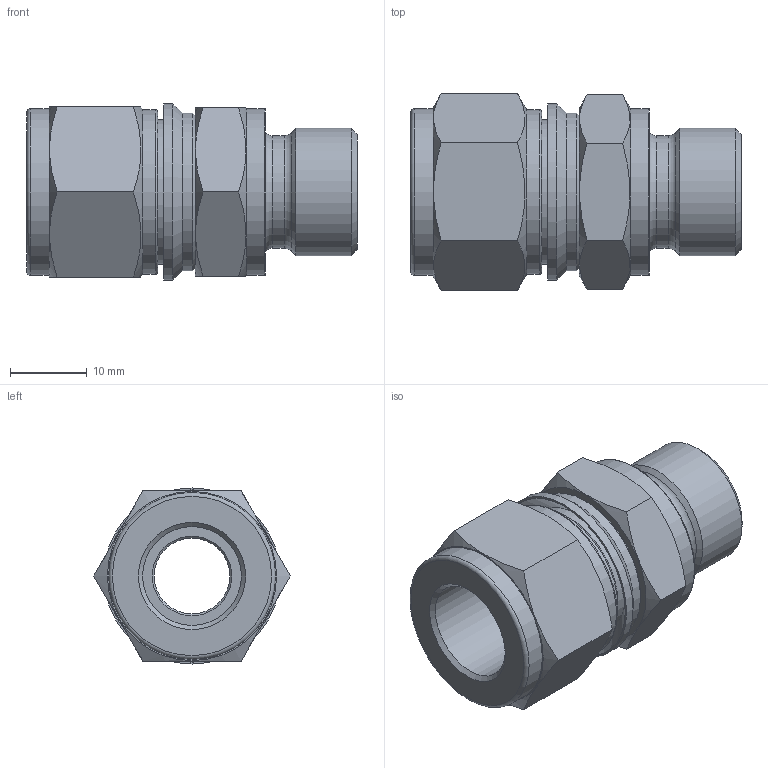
import cadquery as cq
import math

total_length = 43.2
nut_hex_start = 2.95
nut_hex_end = 15.15
nut_end = 17.1
ring_start = 17.9
gap_end = 18.33
ring_rim_end = 19.1
ring_cone_end = 20.35
body_hex_start = 22.03
body_hex_end = 28.72
shoulder_end = 31.2
thread_start = 35.15

nut_collar_diameter = 21.8
nut_tail_diameter = 21.5
gap_diameter = 18.9
ring_rim_diameter = 23.0
ring_hub_diameter = 20.6
ring_mouth_diameter = 22.5
relief_diameter = 17.7
shoulder_diameter = 21.8
undercut_diameter = 14.7
thread_diameter = 16.62

nut_across_corners = 25.66
nut_hex_face_diameter = 22.1
body_across_flats = 22.0
body_across_corners = body_across_flats / math.cos(math.radians(30))
body_hex_face_diameter = 21.9
hex_chamfer_angle = 30.0

nut_face_round = 0.5
nut_tail_round = 0.3
ring_hub_chamfer = 0.35
shoulder_round = 0.15
thread_chamfer = 0.78
undercut_round = 1.3
undercut_arc_angle = 45.0

tube_bore_diameter = 12.9
tube_bore_depth = 22.1
tube_entry_diameter = 14.0
flow_entry_diameter = 10.41
flow_diameter = 9.9


def cylinder(start, end, diameter):
    """Solid cylinder about the X axis."""
    return cq.Workplane("YZ", origin=(start, 0, 0)).circle(diameter / 2).extrude(end - start)


def cone(start, end, start_diameter, end_diameter):
    """Solid frustum about the X axis."""
    outline = [(start, 0), (start, start_diameter / 2), (end, end_diameter / 2), (end, 0)]
    return cq.Workplane("XY").polyline(outline).close().revolve(360, (0, 0, 0), (1, 0, 0))


def chamfered_hex(start, end, across_corners, start_diameter, end_diameter):
    """Hexagon with corners on +/-Y whose ends are turned to cones."""
    slope = math.tan(math.radians(hex_chamfer_angle))
    corner_radius = across_corners / 2
    start_run = (corner_radius - start_diameter / 2) * slope
    end_run = (corner_radius - end_diameter / 2) * slope
    prism = cq.Workplane("YZ", origin=(start, 0, 0)).polygon(6, across_corners).extrude(end - start)
    envelope = (
        cone(start, start + start_run, start_diameter, across_corners)
        .union(cylinder(start + start_run, end - end_run, across_corners))
        .union(cone(end - end_run, end, across_corners, end_diameter))
    )
    return prism.intersect(envelope)


def make_nut():
    """Round collar, hexagon and round tail."""
    collar = cylinder(0, nut_hex_start, nut_collar_diameter).faces("<X").edges().fillet(nut_face_round)
    hexagon = chamfered_hex(
        nut_hex_start, nut_hex_end, nut_across_corners, nut_hex_face_diameter, nut_tail_diameter
    )
    tail = cylinder(nut_hex_end, nut_end, nut_tail_diameter).faces(">X").edges().fillet(nut_tail_round)
    return collar.union(hexagon).union(tail)


def make_ring():
    """Flared ring: straight rim, cone, and a hub against the body hexagon."""
    rim = cylinder(ring_start, ring_rim_end, ring_rim_diameter)
    flare = cone(ring_rim_end, ring_cone_end, ring_rim_diameter, ring_hub_diameter)
    hub = cylinder(ring_cone_end, body_hex_start, ring_hub_diameter)
    hub = hub.faces(">X").edges().chamfer(ring_hub_chamfer)
    return rim.union(flare).union(hub).cut(make_ring_mouth())


def make_ring_mouth():
    """45 degree conical recess that opens the ring towards the nut."""
    depth = (ring_mouth_diameter - relief_diameter) / 2
    return cone(ring_start, ring_start + depth, ring_mouth_diameter, relief_diameter)


def make_neck():
    """Body neck bridging nut and ring, stepping down at 45 degrees to the relief inside the ring."""
    step_run = (gap_diameter - relief_diameter) / 2
    gap = cylinder(nut_end, gap_end, gap_diameter)
    step = cone(gap_end, gap_end + step_run, gap_diameter, relief_diameter)
    relief = cylinder(gap_end + step_run, body_hex_start, relief_diameter)
    return gap.union(step).union(relief)


def make_body():
    """Body hexagon with the round shoulder behind it."""
    hexagon = chamfered_hex(
        body_hex_start, body_hex_end, body_across_corners, body_hex_face_diameter, shoulder_diameter
    )
    shoulder = cylinder(body_hex_end, shoulder_end, shoulder_diameter)
    shoulder = shoulder.faces(">X").edges().fillet(shoulder_round)
    return hexagon.union(shoulder)


def make_threaded_end():
    """Undercut with a tangent arc at each end, then the plain thread cylinder."""
    undercut_radius = undercut_diameter / 2
    thread_radius = thread_diameter / 2

    def arc_run(angle):
        return undercut_round * math.sin(math.radians(angle))

    def arc_radius(angle):
        return undercut_radius + undercut_round * (1 - math.cos(math.radians(angle)))

    half_run = arc_run(undercut_arc_angle / 2)
    full_run = arc_run(undercut_arc_angle)
    arc_middle_radius = arc_radius(undercut_arc_angle / 2)
    arc_end_radius = arc_radius(undercut_arc_angle)
    floor_start = shoulder_end + full_run
    right_arc_end = thread_start - (thread_radius - arc_end_radius)
    floor_end = right_arc_end - full_run
    profile = (
        cq.Workplane("XY")
        .moveTo(shoulder_end, 0)
        .lineTo(shoulder_end, arc_end_radius)
        .threePointArc((floor_start - half_run, arc_middle_radius), (floor_start, undercut_radius))
        .lineTo(floor_end, undercut_radius)
        .threePointArc((floor_end + half_run, arc_middle_radius), (right_arc_end, arc_end_radius))
        .lineTo(thread_start, thread_radius)
        .lineTo(total_length - thread_chamfer, thread_radius)
        .lineTo(total_length, thread_radius - thread_chamfer)
        .lineTo(total_length, 0)
        .close()
    )
    return profile.revolve(360, (0, 0, 0), (1, 0, 0))


def make_bore():
    """Tube socket and narrower flow passage, each with a 45 degree entry."""
    entry_depth = (tube_entry_diameter - tube_bore_diameter) / 2
    flow_entry_depth = (flow_entry_diameter - flow_diameter) / 2
    flow_start = tube_bore_depth + flow_entry_depth
    return (
        cone(0, entry_depth, tube_entry_diameter, tube_bore_diameter)
        .union(cylinder(entry_depth, tube_bore_depth, tube_bore_diameter))
        .union(cone(tube_bore_depth, flow_start, flow_entry_diameter, flow_diameter))
        .union(cylinder(flow_start, total_length, flow_diameter))
    )


outside = make_nut().union(make_neck()).union(make_ring()).union(make_body()).union(make_threaded_end())
result = outside.cut(make_bore())